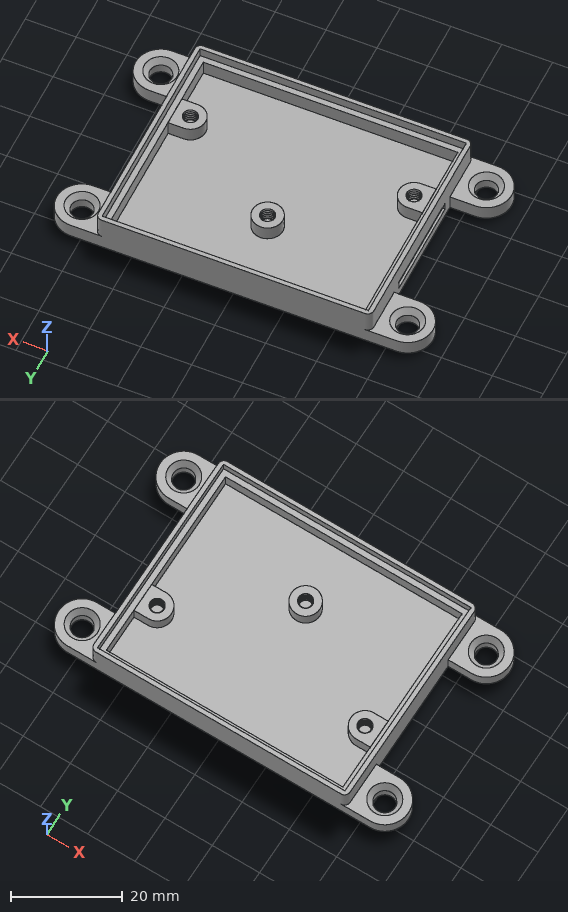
import cadquery as cq

body_length = 54.2
body_width = 44.0
body_height = 7.6
corner_radius = 1.2
floor_thickness = 2.6

cavity_length = 50.0
cavity_width = 39.95
rebate_length = 52.3
rebate_width = 42.25
rebate_depth = 1.9

overall_length = 74.0
lug_width = 10.0
lug_height = 3.0
lug_hole_diameter = 4.3
countersink_diameter = 6.45
countersink_angle = 90.0
lug_hole_x = (overall_length - lug_width) / 2
lug_hole_y = (body_width - lug_width) / 2

post_diameter = 6.0
post_height = 3.0
post_top = floor_thickness + post_height
center_post_y = 7.2
side_post_x = 22.0
side_post_y = -7.8
post_positions = [(0, center_post_y), (-side_post_x, side_post_y), (side_post_x, side_post_y)]

thread_minor_radius = 2.5 / 2
thread_major_radius = 2.9 / 2
thread_pitch = 0.5
thread_turns = 5
thread_bottom = post_top - thread_turns * thread_pitch

slot_length = 20.0
slot_height = 1.5
slot_bottom = 1.9
slot_depth = 0.6


def block(length, width, bottom, top):
    """Rectangular block centred on the Z axis, between two heights."""
    return cq.Workplane("XY").workplane(offset=bottom).rect(length, width).extrude(top - bottom)


def tray_body():
    """Solid rounded block; the cavity is cut from it later."""
    return block(body_length, body_width, 0, body_height).edges("|Z").fillet(corner_radius)


def lug_bars():
    """Two round-ended bars whose ends project past the body as four countersunk lugs."""
    bars = (
        cq.Workplane("XY")
        .pushPoints([(0, -lug_hole_y), (0, lug_hole_y)])
        .slot2D(overall_length, lug_width)
        .extrude(lug_height)
    )
    return (
        bars.faces(">Z").workplane(origin=(0, 0, lug_height))
        .rect(2 * lug_hole_x, 2 * lug_hole_y, forConstruction=True)
        .vertices()
        .cskHole(lug_hole_diameter, countersink_diameter, countersink_angle)
    )


def cavity():
    """Stepped pocket: the main cavity with the rim rebate above it."""
    pocket = block(cavity_length, cavity_width, floor_thickness, body_height)
    rebate = block(rebate_length, rebate_width, body_height - rebate_depth, body_height)
    return pocket.union(rebate)


def posts():
    """Three round posts; webs join the two side posts to the nearby walls."""
    solid = (
        cq.Workplane("XY").workplane(offset=floor_thickness)
        .pushPoints(post_positions)
        .circle(post_diameter / 2)
        .extrude(post_height)
    )
    web_length = cavity_length / 2 - side_post_x
    web_x = side_post_x + web_length / 2
    web = block(web_length, post_diameter, floor_thickness, post_top)
    for x in (-web_x, web_x):
        solid = solid.union(web.translate((x, side_post_y, 0)))
    return solid


def threaded_hole():
    """Revolved cutter with one V-ring per thread turn, its mouth at the post top."""
    profile = cq.Workplane("XZ").moveTo(0, post_top)
    for turn in range(thread_turns):
        turn_top = post_top - turn * thread_pitch
        profile = profile.lineTo(thread_major_radius, turn_top)
        profile = profile.lineTo(thread_minor_radius, turn_top - thread_pitch / 2)
    profile = profile.lineTo(thread_minor_radius, thread_bottom).lineTo(0, thread_bottom)
    return profile.close().revolve(360, (0, 0, 0), (0, 1, 0))


def side_slot():
    """Shallow rectangular recess cut into the -X wall."""
    slot = block(slot_depth, slot_length, slot_bottom, slot_bottom + slot_height)
    return slot.translate(((slot_depth - body_length) / 2, 0, 0))


result = tray_body().union(lug_bars()).cut(cavity()).union(posts())
for x, y in post_positions:
    result = result.cut(threaded_hole().translate((x, y, 0)))
result = result.cut(side_slot())